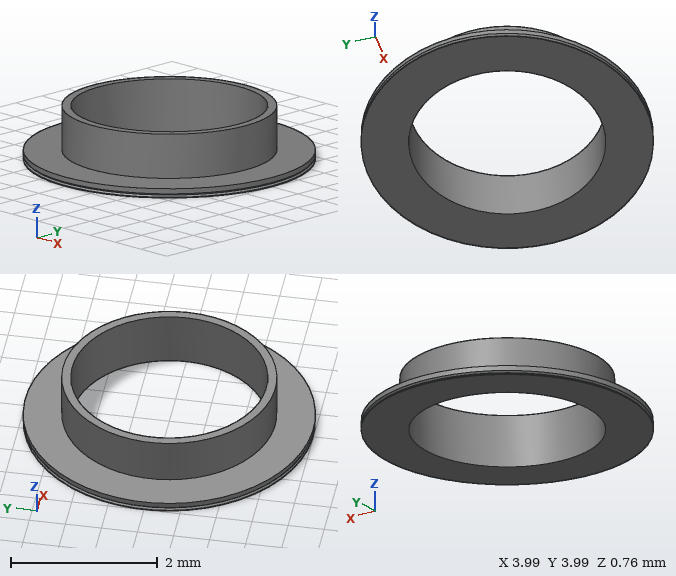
import cadquery as cq

flange_diameter = 3.99
total_height = 0.76
flange_thickness = 0.13

collar_diameter = 2.935
bore_diameter = 2.69

lip_height = 0.01
groove_width = 0.048
groove_depth = 0.025

flange_radius = flange_diameter / 2
collar_radius = collar_diameter / 2
bore_radius = bore_diameter / 2
groove_top = lip_height + groove_width
groove_middle = lip_height + groove_width / 2

half_section = (
    cq.Workplane("XZ")
    .moveTo(bore_radius, 0)
    .lineTo(flange_radius, 0)
    .lineTo(flange_radius, lip_height)
    .lineTo(flange_radius - groove_depth, groove_middle)
    .lineTo(flange_radius, groove_top)
    .lineTo(flange_radius, flange_thickness)
    .lineTo(collar_radius, flange_thickness)
    .lineTo(collar_radius, total_height)
    .lineTo(bore_radius, total_height)
    .close()
)
result = half_section.revolve(360, (0, 0, 0), (0, 1, 0))